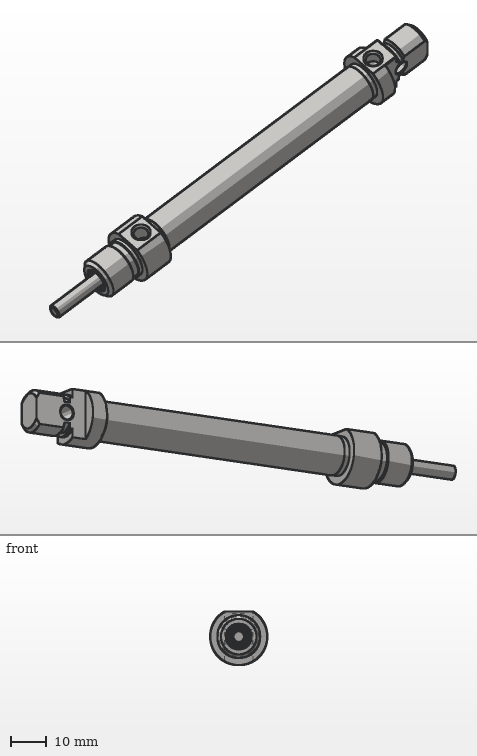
import cadquery as cq
import math

LENGTH = 138.0

CAP_DIA = 16.0
THREAD_DIA = 12.0
BARREL_DIA = 11.3
SPIGOT_DIA = 11.2
ROD_DIA = 4.0
FLAT_HEIGHT = 7.0

ROD_TIP_DIA = 3.0
ROD_TIP_LENGTH = 0.3

NOSE_START = 16.0
NECK_START = 24.8
NECK_END = 26.8
FRONT_CAP_START = 28.0
FRONT_CAP_END = 37.0
BARREL_START = 38.6
BARREL_END = 115.9
REAR_CAP_START = 117.5
CLEVIS_FLAT_START = 122.0
REAR_CAP_END = 126.3
GROOVE_START = 127.1
GROOVE_END = 128.8

END_DIA = 10.0
END_CHAMFER = (THREAD_DIA - END_DIA) / 2
NECK_DIA = 11.2
NECK_BEVEL = 0.3
GROOVE_DIA = 10.0
GROOVE_BEVEL = 0.4

SEAL_MOUTH_DIA = 7.2
SEAL_STEP_DIAS = [6.5, 5.7, 4.7]
SEAL_STEP_DEPTH = 0.4
SEAL_BOTTOM_DIA = 4.4
SEAL_CHAMFER = (SEAL_MOUTH_DIA - SEAL_STEP_DIAS[0]) / 2

PORT_MOUTH_DIA = 5.4
PORT_DIA = 4.1
PORT_CHAMFER = (PORT_MOUTH_DIA - PORT_DIA) / 2
FRONT_PORT_DEPTH = FLAT_HEIGHT
REAR_PORT_DEPTH = 4.1
DRILL_POINT_ANGLE = 118
DRILL_TIP = PORT_DIA / 2 / math.tan(math.radians(DRILL_POINT_ANGLE / 2))
FRONT_PORT_Y = 33.0
REAR_PORT_Y = 121.0

TONGUE_WIDTH = 8.0
PIVOT_DIA = 4.0
PIVOT_MOUTH_DIA = 4.4
PIVOT_CHAMFER = (PIVOT_MOUTH_DIA - PIVOT_DIA) / 2
PIVOT_Y = 128.0


def turned(profile):
    """Solid of revolution about Y from (radius, y) points."""
    return cq.Workplane("XY").polyline(profile).close().revolve(360, (0, 0, 0), (0, 1, 0))


def cylinder(diameter, start, end):
    """Round bar along Y."""
    return cq.Workplane("XZ", origin=(0, start, 0)).circle(diameter / 2).extrude(start - end)


def cut_top_flat(body, start, end):
    """Mill the flat on top of a cap between two stations."""
    waste = cq.Workplane("XY").box(CAP_DIA, end - start, CAP_DIA, centered=(True, False, False))
    return body.cut(waste.translate((0, start, FLAT_HEIGHT)))


def port_drill(y, depth, tip):
    """Countersunk hole going down from the top flat, ending in a point of the given length."""
    mouth, radius = PORT_MOUTH_DIA / 2, PORT_DIA / 2
    profile = [(0, 0), (mouth, 0), (radius, -PORT_CHAMFER), (radius, -depth), (0, -depth - tip)]
    drill = cq.Workplane("XZ").polyline(profile).close().revolve(360, (0, 0, 0), (0, 1, 0))
    return drill.translate((0, y, FLAT_HEIGHT))


def pivot_drill():
    """Cross hole through the tongue along X, chamfered at both mouths."""
    side, mouth, radius = TONGUE_WIDTH / 2, PIVOT_MOUTH_DIA / 2, PIVOT_DIA / 2
    profile = [
        (-side, 0),
        (-side, mouth),
        (-side + PIVOT_CHAMFER, radius),
        (side - PIVOT_CHAMFER, radius),
        (side, mouth),
        (side, 0),
    ]
    drill = cq.Workplane("XY").polyline(profile).close().revolve(360, (0, 0, 0), (1, 0, 0))
    return drill.translate((0, PIVOT_Y, 0))


def seal_recess():
    """Chamfered recess that narrows in equal steps, with a tapered bottom step."""
    profile = [(0, NOSE_START), (SEAL_MOUTH_DIA / 2, NOSE_START)]
    start = NOSE_START + SEAL_CHAMFER
    for diameter in SEAL_STEP_DIAS:
        profile += [(diameter / 2, start), (diameter / 2, start + SEAL_STEP_DEPTH)]
        start += SEAL_STEP_DEPTH
    profile[-1] = (SEAL_BOTTOM_DIA / 2, start)
    profile.append((0, start))
    return turned(profile)


def make_rod():
    return turned([
        (0, 0),
        (ROD_TIP_DIA / 2, 0),
        (ROD_DIA / 2, ROD_TIP_LENGTH),
        (ROD_DIA / 2, BARREL_START),
        (0, BARREL_START),
    ])


def make_front_cap():
    cap, thread, neck = CAP_DIA / 2, THREAD_DIA / 2, NECK_DIA / 2
    body = turned([
        (0, NOSE_START),
        (END_DIA / 2, NOSE_START),
        (thread, NOSE_START + END_CHAMFER),
        (thread, NECK_START - NECK_BEVEL),
        (neck, NECK_START),
        (neck, NECK_END),
        (thread, NECK_END),
        (thread, FRONT_CAP_START),
        (cap, FRONT_CAP_START),
        (cap, FRONT_CAP_END),
        (SPIGOT_DIA / 2, FRONT_CAP_END),
        (SPIGOT_DIA / 2, BARREL_START),
        (0, BARREL_START),
    ])
    body = cut_top_flat(body, FRONT_CAP_START, FRONT_CAP_END)
    rod_bore = cylinder(ROD_DIA, NOSE_START, BARREL_START)
    return body.cut(seal_recess()).cut(rod_bore).cut(port_drill(FRONT_PORT_Y, FRONT_PORT_DEPTH, 0))


def make_barrel():
    return cylinder(BARREL_DIA, BARREL_START, BARREL_END)


def make_rear_cap():
    cap, thread, groove = CAP_DIA / 2, THREAD_DIA / 2, GROOVE_DIA / 2
    body = turned([
        (0, BARREL_END),
        (SPIGOT_DIA / 2, BARREL_END),
        (SPIGOT_DIA / 2, REAR_CAP_START),
        (cap, REAR_CAP_START),
        (cap, REAR_CAP_END),
        (thread, REAR_CAP_END),
        (thread, GROOVE_START),
        (groove, GROOVE_START),
        (groove, GROOVE_END),
        (thread, GROOVE_END + GROOVE_BEVEL),
        (thread, LENGTH - END_CHAMFER),
        (END_DIA / 2, LENGTH),
        (0, LENGTH),
    ])
    body = cut_top_flat(body, REAR_CAP_START, REAR_CAP_END)
    tongue_length = LENGTH - CLEVIS_FLAT_START
    tongue = cq.Workplane("XY").box(TONGUE_WIDTH, tongue_length, CAP_DIA, centered=(True, False, True))
    tongue = tongue.translate((0, CLEVIS_FLAT_START, 0))
    body = body.intersect(cylinder(CAP_DIA, BARREL_END, CLEVIS_FLAT_START).union(tongue))
    return body.cut(pivot_drill()).cut(port_drill(REAR_PORT_Y, REAR_PORT_DEPTH, DRILL_TIP))


rod = make_rod()
front_cap = make_front_cap()
barrel = make_barrel()
rear_cap = make_rear_cap()

result = cq.Compound.makeCompound([rod.val(), front_cap.val(), barrel.val(), rear_cap.val()])